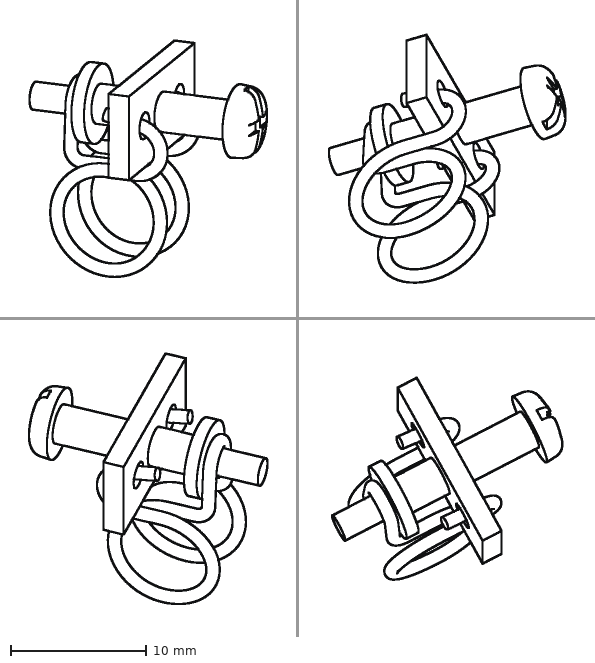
import cadquery as cq
import math

shank_diameter = 3.0
shank_radius = shank_diameter / 2
plate_left = 8.5
wire_radius = 0.5

tail_diameter = 2.1
tail_radius = tail_diameter / 2
flange_radius = shank_diameter
flange_left = 4.1
flange_thickness = 1.0
head_left = 16.0
head_base_radius = 2.75
head_rim_radius = 2.68
head_rim_right = 16.83
shoulder_mid_x = 17.48
shoulder_mid_radius = 2.35
dome_edge_x = 17.73
dome_edge_radius = 1.83
dome_mid_radius = 0.95
dome_mid_x = 17.93
dome_apex_x = 18.02
slot_width = 0.83

plate_thickness = 1.6
plate_width = 13.3
plate_height = 6.55
wire_hole_radius = 1.0
wire_hole_offset = 3.5

arch_radius = tail_radius + wire_radius
arch_x = flange_left - wire_radius
leg_tilt = math.radians(5)
coil_tilt = math.radians(4.3)
leg_length = 3.15
bend_radius = 1.0
coil_radius = 4.0
coil_x = 6.87
hook_start_x = 9.33
hook_radius = 2.0
hook_turn = math.radians(168)
hook_end_length = 2.8


def make_screw():
    profile = (
        cq.Workplane("XY")
        .lineTo(0, tail_radius)
        .lineTo(flange_left, tail_radius)
        .lineTo(flange_left, flange_radius)
        .lineTo(flange_left + flange_thickness, flange_radius)
        .lineTo(flange_left + flange_thickness, shank_radius)
        .lineTo(head_left, shank_radius)
        .lineTo(head_left, head_base_radius)
        .lineTo(head_rim_right, head_rim_radius)
        .threePointArc((shoulder_mid_x, shoulder_mid_radius), (dome_edge_x, dome_edge_radius))
        .threePointArc((dome_mid_x, dome_mid_radius), (dome_apex_x, 0))
        .close()
    )
    screw = profile.revolve(360, (0, 0, 0), (1, 0, 0))

    slot_length = 2 * head_base_radius
    cut_depth = dome_apex_x - head_rim_right
    from_left_face = (False, True, True)
    deep_slot = cq.Workplane(origin=(head_rim_right, 0, 0)).box(
        cut_depth, slot_width, slot_length, centered=from_left_face
    )
    cross_slot = cq.Workplane(origin=(dome_edge_x, 0, 0)).box(
        cut_depth, slot_length, slot_width, centered=from_left_face
    )
    return screw.cut(deep_slot).cut(cross_slot)


def make_plate():
    face = cq.Workplane("YZ", origin=(plate_left, 0, 0))
    return (
        face.rect(plate_width, plate_height)
        .circle(shank_radius)
        .pushPoints([(-wire_hole_offset, 0), (wire_hole_offset, 0)])
        .circle(wire_hole_radius)
        .extrude(plate_thickness)
    )


def offset(start, along_x, along_slope, slope):
    """Move along X and along a direction in the YZ plane given as (y, z)."""
    return cq.Vector(
        start.x + along_x,
        start.y + along_slope * slope[0],
        start.z + along_slope * slope[1],
    )


def arc(start, radius, turn, across, slope):
    """Make an arc that leaves start along X and curls towards the slope direction, and its end.

    across is +1 to leave along +X and -1 to leave along -X.
    """
    middle, end = [
        offset(start, across * radius * math.sin(angle), radius * (1 - math.cos(angle)), slope)
        for angle in (turn / 2, turn)
    ]
    return cq.Edge.makeThreePointArc(start, middle, end), end


def make_spring():
    leg_down = (math.sin(leg_tilt), -math.cos(leg_tilt))
    leg_up = (math.sin(leg_tilt), math.cos(leg_tilt))
    coil_down = (math.sin(coil_tilt), -math.cos(coil_tilt))
    coil_up = (math.sin(coil_tilt), math.cos(coil_tilt))

    arch_top = cq.Vector(arch_x, 0, arch_radius)
    arch_turn = math.pi / 2 - leg_tilt
    arch_middle, arch_end = [
        cq.Vector(arch_x, arch_radius * math.sin(angle), arch_radius * math.cos(angle))
        for angle in (arch_turn / 2, arch_turn)
    ]
    arch = cq.Edge.makeThreePointArc(arch_top, arch_middle, arch_end)

    leg_end = offset(arch_end, 0, leg_length, leg_down)
    bend_middle = offset(
        leg_end,
        bend_radius * (1 - math.cos(math.pi / 4)),
        bend_radius * math.sin(math.pi / 4),
        leg_down,
    )
    bend_end = offset(leg_end, bend_radius, bend_radius, leg_down)
    bend = cq.Edge.makeThreePointArc(leg_end, bend_middle, bend_end)

    coil_start = cq.Vector(coil_x, bend_end.y, bend_end.z)
    coil_right, coil_bottom = arc(coil_start, coil_radius, math.pi, 1, coil_down)
    coil_left, coil_end = arc(coil_bottom, coil_radius, math.pi, -1, coil_up)

    hook_start = cq.Vector(hook_start_x, coil_end.y, coil_end.z)
    hook, hook_end = arc(hook_start, hook_radius, hook_turn, 1, leg_up)
    wire_tip = offset(
        hook_end,
        hook_end_length * math.cos(hook_turn),
        hook_end_length * math.sin(hook_turn),
        leg_up,
    )

    centreline = cq.Wire.assembleEdges([
        arch,
        cq.Edge.makeLine(arch_end, leg_end),
        bend,
        cq.Edge.makeLine(bend_end, coil_start),
        coil_right,
        coil_left,
        cq.Edge.makeLine(coil_end, hook_start),
        hook,
        cq.Edge.makeLine(hook_end, wire_tip),
    ])
    half = (
        cq.Workplane("XZ", origin=arch_top.toTuple())
        .circle(wire_radius)
        .sweep(cq.Workplane(obj=centreline))
    )
    return half.union(half.mirror("XZ"))


screw = make_screw()
plate = make_plate()
spring = make_spring()

bodies = [body.solids().val() for body in (screw, plate, spring)]
result = cq.Compound.makeCompound(bodies)